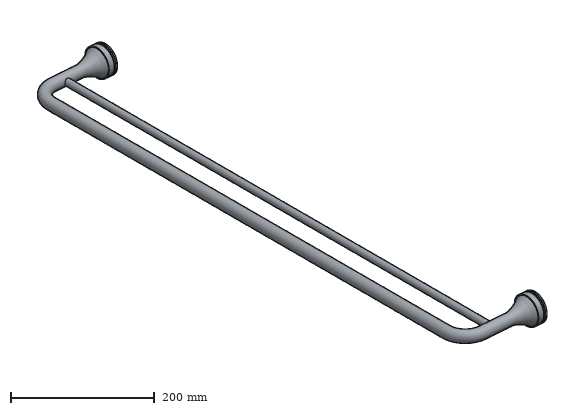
import cadquery as cq

overall_length = 930.0
overall_depth = 145.0
flange_diameter = 50.0
tube_diameter = 20.0
rail_diameter = 12.0
bend_radius = 35.0
rail_setback = 80.0

flange_thickness = 16.0
shoulder_radius = 23.0
collar_depth = 23.0
collar_radius = 19.0
foot_depth = 46.5
flare_middle_depth = 33.5
flare_middle_radius = 14.0
groove_start = 3.0
groove_end = 6.0
groove_radius = 24.0

flange_radius = flange_diameter / 2
tube_radius = tube_diameter / 2
post_x = overall_length / 2 - flange_radius
bar_y = -(overall_depth - tube_radius)
bend_start_y = bar_y + bend_radius
bend_end_x = post_x - bend_radius
bend_offset = bend_radius * 0.5 ** 0.5


def make_foot(x):
    """Round flange with a shallow groove, a stepped shoulder and a flare down to the tube."""
    profile = (
        cq.Workplane("XY")
        .lineTo(flange_radius, 0)
        .lineTo(flange_radius, -groove_start)
        .lineTo(groove_radius, -groove_start)
        .lineTo(groove_radius, -groove_end)
        .lineTo(flange_radius, -groove_end)
        .lineTo(flange_radius, -flange_thickness)
        .lineTo(shoulder_radius, -flange_thickness)
        .lineTo(collar_radius, -collar_depth)
        .threePointArc((flare_middle_radius, -flare_middle_depth), (tube_radius, -foot_depth))
        .lineTo(0, -foot_depth)
        .close()
    )
    return profile.revolve(360, (0, 0), (0, 1)).translate((x, 0, 0))


def make_tube():
    """Bent tube: two posts joined to the front bar by quarter bends."""
    path = (
        cq.Workplane("XY")
        .moveTo(-post_x, -foot_depth)
        .lineTo(-post_x, bend_start_y)
        .threePointArc(
            (-bend_end_x - bend_offset, bend_start_y - bend_offset),
            (-bend_end_x, bar_y),
        )
        .lineTo(bend_end_x, bar_y)
        .threePointArc(
            (bend_end_x + bend_offset, bend_start_y - bend_offset),
            (post_x, bend_start_y),
        )
        .lineTo(post_x, -foot_depth)
    )
    section = cq.Workplane("XZ", origin=(-post_x, -foot_depth, 0)).circle(tube_radius)
    return section.sweep(path)


def make_rail():
    """Thin rail running between the post axes."""
    section = cq.Workplane("YZ", origin=(-post_x, -rail_setback, 0)).circle(rail_diameter / 2)
    return section.extrude(2 * post_x)


result = make_tube().union(make_rail())
for foot_x in (-post_x, post_x):
    result = result.union(make_foot(foot_x))